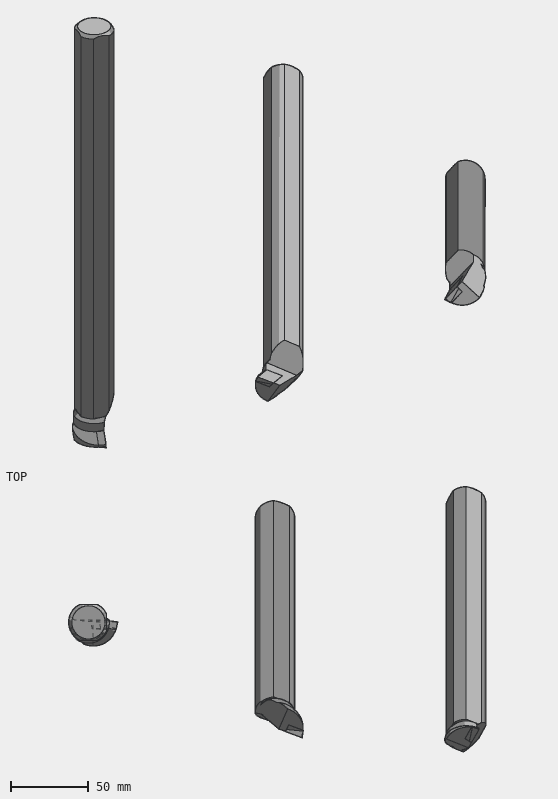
import cadquery as cq
import math

bar_top = 306.0
margin = 15.3

shank_radius = 13.0
shank_bottom = 19.0
front_back_flat = 11.5
side_flat = 11.5
top_chamfer = 2.0

neck_radius = 13.5
neck_shoulder = 16.0
flare_top = 9.8
flare_slope = 0.65
head_bottom = 1.0
head_offset = 3.0
head_radius = 15.3

relief_top = 21.0
relief_toe_x = 2.8

runout_top = 32.5
seat_top_y = 1.5
seat_top_z = 16.2
seat_bottom_y = 0.3
seat_tilt = math.degrees(math.atan2(seat_top_y - seat_bottom_y, seat_top_z))

tip_x = 19.0
tip_angle = 55.0
edge_length = 11.5
edge_lift = 3.0
insert_thickness = 5.0
insert_relief = 7.0


def make_shank():
    shank = cq.Workplane("XY").workplane(offset=shank_bottom).circle(shank_radius)
    shank = shank.extrude(bar_top - shank_bottom).faces(">Z").chamfer(top_chamfer)
    flats = cq.Workplane("XY").box(
        shank_radius + side_flat, 2 * front_back_flat, bar_top, centered=(False, True, False)
    )
    return shank.intersect(flats.translate((-shank_radius, 0, 0)))


def make_head():
    flare_radius = neck_radius + flare_slope * (flare_top - head_bottom)
    body = (
        cq.Workplane("XZ")
        .moveTo(0, head_bottom)
        .lineTo(flare_radius, head_bottom)
        .lineTo(neck_radius, flare_top)
        .lineTo(neck_radius, neck_shoulder)
        .lineTo(front_back_flat, shank_bottom)
        .lineTo(0, shank_bottom)
        .close()
        .revolve(360, (0, 0, 0), (0, 1, 0))
    )
    envelope = cq.Workplane("XY").center(head_offset, 0).circle(head_radius).extrude(shank_bottom)
    return body.intersect(envelope)


def make_relief_cut():
    """Wedge below the slanted plane on the -X side."""
    slope = (relief_top - head_bottom) / (relief_toe_x + shank_radius)
    outer_x = -shank_radius - margin
    return (
        cq.Workplane("XZ")
        .moveTo(relief_toe_x, head_bottom)
        .lineTo(outer_x, relief_top + slope * margin)
        .lineTo(outer_x, head_bottom)
        .close()
        .extrude(head_radius + margin, both=True)
    )


def make_flute_cut():
    """Space above the seat face and its runout on the +Y side."""
    slope = (runout_top - seat_top_z) / (front_back_flat - seat_top_y)
    outer_y = front_back_flat + margin
    return (
        cq.Workplane("YZ")
        .moveTo(seat_bottom_y, 0)
        .lineTo(seat_top_y, seat_top_z)
        .lineTo(outer_y, runout_top + slope * margin)
        .lineTo(outer_y, 0)
        .close()
        .extrude(tip_x + margin, both=True)
    )


def make_insert():
    """Rhombus with its face flush with the seat face and its tip at Z = 0."""
    lower = math.radians(180 - edge_lift)
    side = math.radians(180 - edge_lift - tip_angle)
    lower_x = edge_length * math.cos(lower)
    lower_z = edge_length * math.sin(lower)
    side_x = edge_length * math.cos(side)
    side_z = edge_length * math.sin(side)
    rhombus = [(0, 0), (lower_x, lower_z), (lower_x + side_x, lower_z + side_z), (side_x, side_z)]
    body = cq.Workplane("XZ").polyline(rhombus).close()
    body = body.extrude(insert_thickness, taper=insert_relief)
    body = body.rotate((0, 0, 0), (1, 0, 0), -seat_tilt)
    return body.translate((tip_x, seat_bottom_y, 0))


insert = make_insert()
bar = make_shank().union(make_head())
bar = bar.cut(make_relief_cut()).cut(make_flute_cut()).cut(insert)

result = cq.Compound.makeCompound([bar.val(), insert.val()])